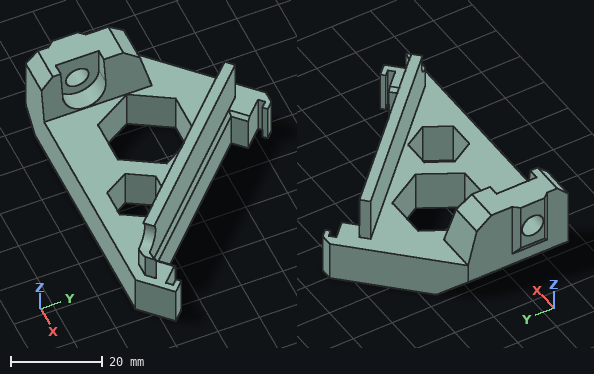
import cadquery as cq
import math


plate_height = 10.05
plate_depth = 47.85
mount_width = 25.8
tip_x = 66.1
mount_chamfer = 5.05

frame_middle = 12.35
hook_out = 51.5
notch_out = 50.2
jaw_out = 48.5
recess_half = 23.0
hook_half = 26.3
notch_half = 28.05
recess_out = 43.6
recess_chamfer = 0.9

rail_top = 21.0
rail_inner = 41.05
rail_start = -26.95
rail_leg_y = 2.5
rail_leg_thickness = 1.8
rail_end = 27.65
groove_radius = 3.5
groove_along = 25.1
groove_z = 18.7

windows = [(20.95, 19.75, 21.5), (37.5, 10.25, 13.4)]

block_top = 22.0
block_base_length = 10.1
block_top_length = 8.15
shoulder_z = 19.0
shoulder_y = 23.6
block_top_y = 19.8
block_chamfer = 2.9

key_height = 1.3
key_crest_width = 6.1
key_side_slope = 2.1
key_bottom = 8.15
key_end_slope = 3.0
screw_y = 10.0
screw_z = 15.4
screw_hole_diameter = 5.45
seat_diameter = 10.3
seat_x = 5.45


def diagonal(along, out):
    """Turn a diagonal-frame position into X and Y."""
    u = along + frame_middle
    return ((out + u) / math.sqrt(2), (out - u) / math.sqrt(2))


def prism(points, height):
    """Upright prism standing on Z = 0."""
    return cq.Workplane("XY").polyline(points).close().extrude(height)


def half_hook(side):
    """Hook, jaw and recess corners from the hook tip inward; side is -1 or 1."""
    return [
        diagonal(side * hook_half, hook_out),
        diagonal(side * hook_half, notch_out),
        diagonal(side * notch_half, notch_out),
        diagonal(side * notch_half, jaw_out),
        diagonal(side * (recess_half - recess_chamfer), jaw_out),
        diagonal(side * (recess_half - recess_chamfer), recess_out + recess_chamfer),
    ]


def make_plate():
    tip_y = math.sqrt(2) * hook_out - tip_x
    shoulder_x = math.sqrt(2) * hook_out - plate_depth
    outline = [(0, 0), (tip_x - tip_y, 0), (tip_x, tip_y)]
    outline += half_hook(1)
    outline += reversed(half_hook(-1))
    outline += [
        (shoulder_x, plate_depth),
        (plate_depth - mount_width, plate_depth),
        (0, mount_width),
    ]
    return prism(outline, plate_height)


def recess_section(inset):
    """Recess corners, pulled in by the inset and left open on the outer side."""
    half = recess_half - inset
    floor = recess_out + inset
    return [
        diagonal(-half, floor),
        diagonal(half, floor),
        diagonal(half, jaw_out),
        diagonal(-half, jaw_out),
    ]


def make_recess_chamfer():
    """Flared cutter that chamfers the upper edge of the recess between the jaws."""
    return (
        cq.Workplane("XY", origin=(0, 0, plate_height - recess_chamfer))
        .polyline(recess_section(recess_chamfer)).close()
        .workplane(offset=recess_chamfer)
        .polyline(recess_section(0)).close()
        .loft(ruled=True)
    )


def make_rail():
    root_two = math.sqrt(2)
    leg_inner_y = rail_leg_y + rail_leg_thickness
    leg_shift = root_two * (rail_end + frame_middle)
    outline = [
        diagonal(rail_start, rail_inner),
        (root_two * rail_inner - rail_leg_y, rail_leg_y),
        (leg_shift + rail_leg_y, rail_leg_y),
        (leg_shift + leg_inner_y, leg_inner_y),
        (root_two * recess_out - leg_inner_y, leg_inner_y),
        diagonal(rail_start, recess_out),
    ]
    return prism(outline, rail_top)


def make_rail_groove():
    """Round groove across the rail's bent end, open past its centre."""
    x, y = diagonal(groove_along, hook_out)
    across = cq.Plane(origin=(x, y, groove_z), xDir=(1, -1, 0), normal=(-1, -1, 0))
    groove = cq.Workplane(across).circle(groove_radius).extrude(hook_out)
    opening = (
        cq.Workplane(across)
        .rect(groove_radius, groove_radius, centered=False)
        .extrude(hook_out)
    )
    return groove.union(opening)


def make_windows():
    cutters = cq.Workplane("XY")
    for x, y, across_corners in windows:
        window = cq.Workplane("XY").center(x, y).polygon(6, across_corners)
        cutters = cutters.add(window.extrude(plate_height))
    return cutters.combine()


def make_block():
    """Side profile with a sloping back, trimmed to the profile of the mounting face."""
    side = (
        cq.Workplane("XZ")
        .polyline([
            (0, 0),
            (block_base_length, 0),
            (block_base_length, plate_height),
            (block_top_length, block_top),
            (0, block_top),
        ])
        .close()
        .extrude(-mount_width)
    )
    face = (
        cq.Workplane("YZ")
        .polyline([
            (0, 0),
            (mount_width, 0),
            (mount_width, plate_height),
            (shoulder_y, shoulder_z),
            (block_top_y, block_top),
            (block_chamfer, block_top),
            (0, block_top - block_chamfer),
        ])
        .close()
        .extrude(block_base_length)
    )
    return side.intersect(face)


def make_mount_chamfer():
    return (
        cq.Workplane("XZ")
        .polyline([(0, 0), (mount_chamfer, 0), (0, mount_chamfer)])
        .close()
        .extrude(-plate_depth)
    )


def key_section(rise):
    """Key corners as Y and Z; rise is 0 at the root and 1 at the crest."""
    half = key_crest_width / 2 + key_side_slope * (0.7 - rise)
    bottom = key_bottom + key_end_slope * rise
    return [
        (screw_y - half, bottom),
        (screw_y + half, bottom),
        (screw_y + half, block_top),
        (screw_y - half, block_top),
    ]


def make_key():
    return (
        cq.Workplane("YZ")
        .polyline(key_section(0)).close()
        .workplane(offset=-key_height)
        .polyline(key_section(0.7)).close()
        .loft(ruled=True)
    )


def make_screw_seat():
    """Screw hole with a round-bottomed seat that is open at the top and the back."""
    seat_length = block_base_length - seat_x
    hole = (
        cq.Workplane("YZ", origin=(-key_height, screw_y, screw_z))
        .circle(screw_hole_diameter / 2)
        .extrude(key_height + block_base_length)
    )
    seat_plane = cq.Workplane("YZ", origin=(seat_x, screw_y, screw_z))
    seat = seat_plane.circle(seat_diameter / 2).extrude(seat_length)
    opening = (
        seat_plane
        .center(-seat_diameter / 2, 0)
        .rect(seat_diameter, block_top - screw_z, centered=False)
        .extrude(seat_length)
    )
    return hole.union(seat).union(opening)


plate = make_plate().cut(make_recess_chamfer()).cut(make_windows())
rail = make_rail().cut(make_rail_groove())
block = make_block().union(make_key()).cut(make_screw_seat())
result = plate.union(rail).union(block).cut(make_mount_chamfer())